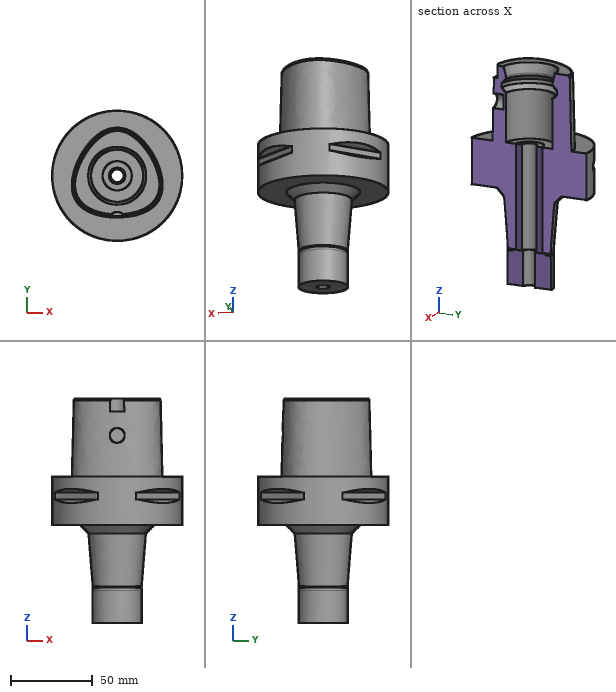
import cadquery as cq
import math

total_height = 138.0
shoulder_z = 90.0
flange_bottom_z = 60.2
neck_top_z = 55.2
neck_bottom_z = 22.6
collar_top_z = 21.8

flange_radius = 40.0
neck_top_radius = 17.7
neck_bottom_radius = 15.0
under_cone_radius = neck_top_radius + (flange_bottom_z - neck_top_z)

shank_base_radius = 27.6
lobe_height = 2.0
shank_taper = 0.025
outline_points = 36
shank_chamfer_height = 1.4
shank_chamfer_width = 0.8

mouth_radius = 17.8
bore_radius = 16.0
mouth_depth = 6.3
lip_depth = 7.9
bore_groove_radius = 19.0
bore_groove_slope = bore_groove_radius - bore_radius
bore_groove_bottom_depth = 13.5
bore_floor_z = shoulder_z

notch_radius = 5.4
notch_inner_y = -22.2
notch_depth = 8.0
side_hole_radius = 4.5
side_hole_z = 115.2
side_hole_floor_y = -18.2

slot_count = 4
slot_first_angle = 45.0
slot_center_z = 78.1
slot_floor_distance = 35.3
slot_flare_distance = 35.9
slot_floor_height = 4.1
slot_mouth_height = 8.7

collar_radius = 15.2
collar_chamfer_height = 1.7
collar_chamfer_width = 0.1
spigot_radius = 11.6
passage_radius = 4.0

sleeve_radius = 9.0
sleeve_bore_radius = 5.0


def revolve_profile(points):
    """Solid of revolution about Z from (radius, z) points."""
    return cq.Workplane("XZ").polyline(points).close().revolve(360, (0, 0), (0, 1))


def z_cylinder(radius, bottom_z, top_z):
    return cq.Workplane("XY").workplane(offset=bottom_z).circle(radius).extrude(top_z - bottom_z)


def lobed_wire(mean_radius, z):
    """Closed three-lobed outline, one lobe towards +Y, starting and ending on the -Y side."""
    points = []
    for index in range(outline_points):
        angle = 2 * math.pi * index / outline_points
        x = mean_radius * math.sin(angle) + lobe_height * math.sin(2 * angle)
        y = -mean_radius * math.cos(angle) + lobe_height * math.cos(2 * angle)
        points.append(cq.Vector(x, y, z))
    return cq.Wire.assembleEdges([cq.Edge.makeSpline(points, periodic=True)])


def make_shank():
    chamfer_z = total_height - shank_chamfer_height
    chamfer_radius = shank_base_radius - shank_taper * (chamfer_z - shoulder_z)
    base = lobed_wire(shank_base_radius, shoulder_z)
    chamfer_start = lobed_wire(chamfer_radius, chamfer_z)
    top = lobed_wire(chamfer_radius - shank_chamfer_width, total_height)
    return cq.Workplane(cq.Solid.makeLoft([base, chamfer_start, top], True))


def make_flange_and_neck():
    return revolve_profile([
        (0, neck_bottom_z),
        (neck_bottom_radius, neck_bottom_z),
        (neck_top_radius, neck_top_z),
        (under_cone_radius, flange_bottom_z),
        (flange_radius, flange_bottom_z),
        (flange_radius, shoulder_z),
        (0, shoulder_z),
    ])


def make_bore_cutter():
    lip_z = total_height - lip_depth
    groove_bottom_z = total_height - bore_groove_bottom_depth
    return revolve_profile([
        (0, bore_floor_z),
        (bore_radius, bore_floor_z),
        (bore_radius, groove_bottom_z - bore_groove_slope),
        (bore_groove_radius, groove_bottom_z),
        (bore_groove_radius, lip_z - bore_groove_slope),
        (bore_radius, lip_z),
        (bore_radius, total_height - mouth_depth),
        (mouth_radius, total_height),
        (0, total_height),
    ])


def make_notch_cutter():
    notch = z_cylinder(notch_radius, total_height - notch_depth, total_height)
    return notch.translate((0, notch_inner_y - notch_radius, 0))


def make_side_hole_cutter():
    return (
        cq.Workplane("XZ", origin=(0, side_hole_floor_y, side_hole_z))
        .circle(side_hole_radius)
        .extrude(flange_radius + side_hole_floor_y)
    )


def make_slot_cutter(angle):
    """Straight slot with a flat floor and flared sides, facing the given angle about Z."""
    floor_half = slot_floor_height / 2
    mouth_half = slot_mouth_height / 2
    profile = [
        (slot_floor_distance, slot_center_z - floor_half),
        (slot_flare_distance, slot_center_z - floor_half),
        (flange_radius, slot_center_z - mouth_half),
        (flange_radius, slot_center_z + mouth_half),
        (slot_flare_distance, slot_center_z + floor_half),
        (slot_floor_distance, slot_center_z + floor_half),
    ]
    slot = cq.Workplane("XZ").polyline(profile).close().extrude(flange_radius, both=True)
    return slot.rotate((0, 0, 0), (0, 0, 1), angle)


def make_holder():
    holder = make_flange_and_neck().union(make_shank())
    holder = holder.cut(make_bore_cutter())
    holder = holder.cut(z_cylinder(sleeve_radius, neck_bottom_z, bore_floor_z))
    holder = holder.cut(make_notch_cutter())
    holder = holder.cut(make_side_hole_cutter())
    for index in range(slot_count):
        holder = holder.cut(make_slot_cutter(slot_first_angle + index * 360 / slot_count))
    return holder


def make_collar():
    """Lower cylinder with a short spigot that leaves a narrow gap under the neck."""
    return revolve_profile([
        (passage_radius, 0),
        (collar_radius, 0),
        (collar_radius, collar_top_z - collar_chamfer_height),
        (collar_radius - collar_chamfer_width, collar_top_z),
        (spigot_radius, collar_top_z),
        (spigot_radius, neck_bottom_z),
        (passage_radius, neck_bottom_z),
    ])


def make_sleeve():
    """Tube that fills the neck, flush with the bore floor and standing on the spigot."""
    tube = z_cylinder(sleeve_radius, neck_bottom_z, bore_floor_z)
    return tube.cut(z_cylinder(sleeve_bore_radius, neck_bottom_z, bore_floor_z))


holder = make_holder()
collar = make_collar()
sleeve = make_sleeve()

result = cq.Compound.makeCompound([*holder.solids().vals(), collar.val(), sleeve.val()])